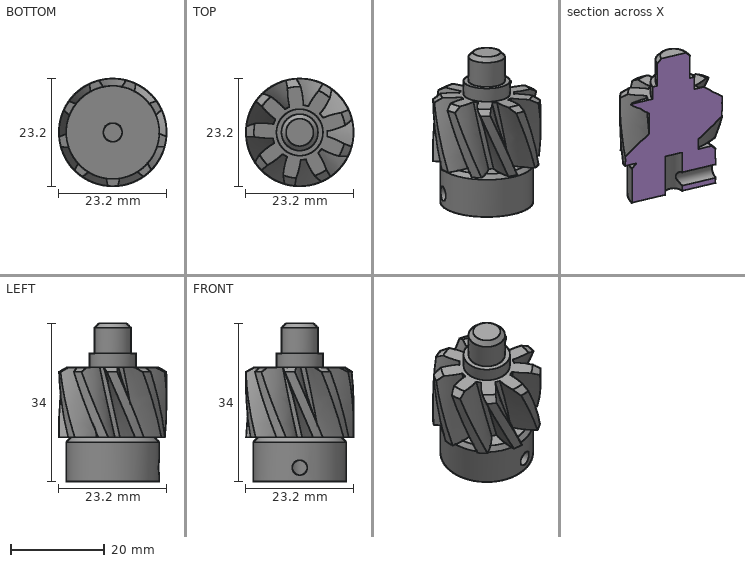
import cadquery as cq
import math

base_top = 9.5
gear_top = 24.5
collar_top = 27.5
pin_top = 34.0

base_radius = 10.0
collar_radius = 5.0
pin_radius = 3.927
edge_chamfer = 1.0

tooth_count = 9
gear_radius = 11.577
tip_chamfer_width = 1.75
tip_chamfer_height = 1.0
gear_twist = -32.6
top_gap_angle = -2.8

root_radius = 5.9
root_half_angle = 5.3
flank_radius = 7.82
flank_half_angle = 8.3
tip_half_angle = 14.6

bore_radius = 2.0

hole_diameter = 3.2
hole_height = 3.0


def polar(radius, angle):
    """Point at a radius and an angle in degrees."""
    turn = math.radians(angle)
    return (radius * math.cos(turn), radius * math.sin(turn))


def cylinder(radius, bottom, top):
    """Cylinder on the Z axis between two heights."""
    return cq.Workplane("XY").workplane(offset=bottom).circle(radius).extrude(top - bottom)


def gear_outline():
    """Closed gear outline on the bottom face of the gear."""
    pitch = 360 / tooth_count
    first_gap = top_gap_angle - gear_twist
    outline = cq.Workplane("XY").workplane(offset=base_top)
    outline = outline.moveTo(*polar(gear_radius, first_gap - tip_half_angle))
    for index in range(tooth_count):
        gap = first_gap + index * pitch
        outline = outline.threePointArc(
            polar(flank_radius, gap - flank_half_angle),
            polar(root_radius, gap - root_half_angle),
        )
        outline = outline.lineTo(*polar(root_radius, gap + root_half_angle))
        outline = outline.threePointArc(
            polar(flank_radius, gap + flank_half_angle),
            polar(gear_radius, gap + tip_half_angle),
        )
        outline = outline.threePointArc(
            polar(gear_radius, gap + pitch / 2),
            polar(gear_radius, gap + pitch - tip_half_angle),
        )
    return outline.close()


def helical_gear():
    """Twisted gear with a conical chamfer on the top ends of its teeth."""
    teeth = gear_outline().twistExtrude(gear_top - base_top, gear_twist)
    blank_radius = gear_radius + 0.35
    slope = tip_chamfer_height / tip_chamfer_width
    blank_shoulder = gear_top - tip_chamfer_height - slope * (blank_radius - gear_radius)
    blank = (
        cq.Workplane("XZ")
        .moveTo(0, base_top)
        .lineTo(blank_radius, base_top)
        .lineTo(blank_radius, blank_shoulder)
        .lineTo(gear_radius - tip_chamfer_width, gear_top)
        .lineTo(0, gear_top)
        .close()
        .revolve(360, (0, 0, 0), (0, 1, 0))
    )
    return teeth.intersect(blank)


base = cylinder(base_radius, 0, base_top).faces(">Z").edges().chamfer(edge_chamfer)
collar = cylinder(collar_radius, gear_top, collar_top)
pin = cylinder(pin_radius, collar_top, pin_top).faces(">Z").edges().chamfer(edge_chamfer)

bore = cylinder(bore_radius, 0, base_top)

radial_hole = (
    cq.Workplane("XZ")
    .center(0, hole_height)
    .circle(hole_diameter / 2)
    .extrude(base_radius)
)

result = base.union(helical_gear()).union(collar).union(pin).cut(bore).cut(radial_hole)